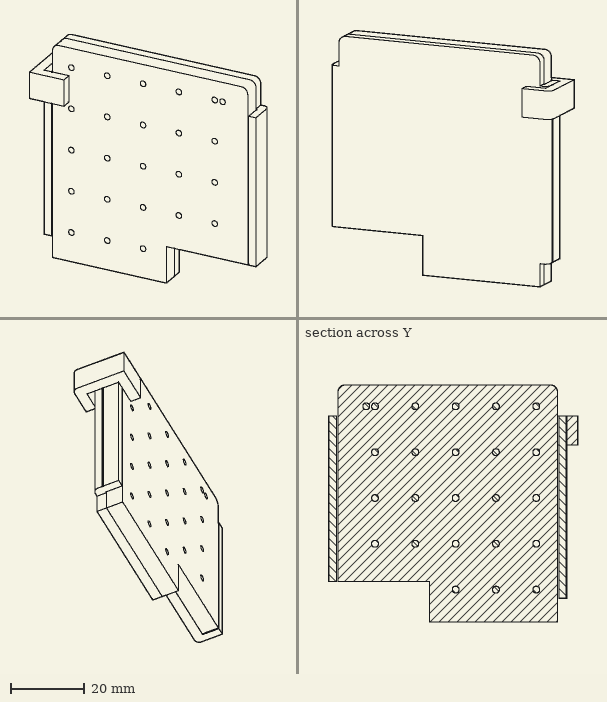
import cadquery as cq


plate_left = 5.5
plate_width = 60.0
plate_right = plate_left + plate_width
plate_height = 64.76
corner_radius = 2.0
notch_left = plate_left + 35.0
notch_height = 11.1

front_thickness = 4.9
back_thickness = 2.9
total_thickness = front_thickness + back_thickness

flange_thickness = 2.2
flange_gap = 0.3
flange_reach = flange_gap + flange_thickness
flange_top = 56.3
left_flange_bottom = 6.5
right_flange_bottom = notch_height
edge_radius = 1.5

groove_width = 0.4
groove_depth = 0.1

pin_diameter = 1.7
pin_columns = 5
pin_rows = 5
pin_pitch_x = 11.0
pin_pitch_z = 12.5
first_pin_x = plate_left + 5.85
first_pin_z = 8.9
bottom_row_pins = 3
extra_pin_offset = 2.4

clip_wall = 3.0
clip_height = 8.0
clip_top = flange_top
clip_left = plate_left - flange_reach - clip_wall
clip_front_length = 10.6
clip_back_length = 8.7
clip_back_gap = 1.8


def box(x_min, x_max, y_min, y_max, z_min, z_max):
    """Box between the given limits."""
    return cq.Workplane("XY").box(
        x_max - x_min, y_max - y_min, z_max - z_min, centered=False
    ).translate((x_min, y_min, z_min))


def plate(y_front, thickness):
    """Plate with two rounded top corners and a notch in its bottom right corner."""
    body = box(plate_left, plate_right, y_front, y_front + thickness, 0, plate_height)
    body = body.edges("|Y and >Z").fillet(corner_radius)
    notch = box(notch_left, plate_right, y_front, y_front + thickness, 0, notch_height)
    return body.cut(notch)


def pin_centers():
    """X and Z of every pin: a grid with a short bottom row and one extra pin in the top row."""
    centers = []
    for row in range(pin_rows):
        columns = bottom_row_pins if row == 0 else pin_columns
        for column in range(columns):
            centers.append((first_pin_x + column * pin_pitch_x, first_pin_z + row * pin_pitch_z))
    last_x, last_z = centers[-1]
    centers.append((last_x + extra_pin_offset, last_z))
    return centers


def pins():
    """All pins, running from the front face to the plate joint."""
    return (
        cq.Workplane("XZ")
        .pushPoints(pin_centers())
        .circle(pin_diameter / 2)
        .extrude(-front_thickness)
    )


def flange(plate_edge, direction, z_bottom):
    """L-shaped flange beside a plate edge; direction is -1 on the left and +1 on the right."""
    inner = plate_edge + direction * flange_gap
    outer = plate_edge + direction * flange_reach
    return (
        cq.Workplane("XY", origin=(0, 0, z_bottom))
        .moveTo(plate_edge, total_thickness)
        .lineTo(outer - direction * edge_radius, total_thickness)
        .radiusArc((outer, total_thickness - edge_radius), direction * edge_radius)
        .lineTo(outer, 0)
        .lineTo(inner, 0)
        .lineTo(inner, front_thickness)
        .lineTo(plate_edge, front_thickness)
        .close()
        .extrude(flange_top - z_bottom)
    )


def make_front_plate():
    return plate(0, front_thickness).cut(pins())


def make_back_cover():
    left_outer = plate_left - flange_reach
    groove = box(
        left_outer, left_outer + groove_depth,
        front_thickness - groove_width / 2, front_thickness + groove_width / 2,
        left_flange_bottom, flange_top,
    )
    left_flange = flange(plate_left, -1, left_flange_bottom).cut(groove)
    right_flange = flange(plate_right, 1, right_flange_bottom)
    cover = plate(front_thickness, back_thickness)
    return cover.union(left_flange).union(right_flange).union(pins())


def make_clip():
    """C-shaped clip with a long front leg, a short back leg and one rounded back corner."""
    inner = clip_left + clip_wall
    back_inner = total_thickness + clip_back_gap
    back = back_inner + clip_wall
    return (
        cq.Workplane("XY", origin=(0, 0, clip_top - clip_height))
        .moveTo(clip_left, -clip_wall)
        .lineTo(clip_left + clip_front_length, -clip_wall)
        .lineTo(clip_left + clip_front_length, 0)
        .lineTo(inner, 0)
        .lineTo(inner, back_inner)
        .lineTo(clip_left + clip_back_length, back_inner)
        .lineTo(clip_left + clip_back_length, back)
        .lineTo(clip_left + edge_radius, back)
        .radiusArc((clip_left, back - edge_radius), -edge_radius)
        .close()
        .extrude(clip_height)
    )


front_plate = make_front_plate()
back_cover = make_back_cover()
clip = make_clip()

result = cq.Compound.makeCompound([front_plate.val(), back_cover.val(), clip.val()])